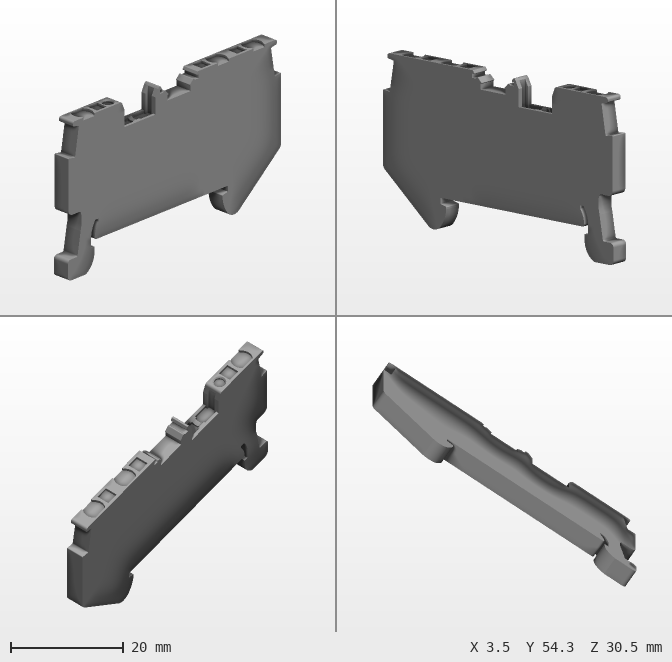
import cadquery as cq
import math

length = 54.3
height = 30.5
thickness = 3.5
half_thickness = thickness / 2

front_end = 0.2
back_end = length
rail_seat_z = 6.05
front_end_bottom_z = 12.6
back_end_bottom_z = 9.55

lip_inset = 1.1
lip_bottom_z = 29.6
undercut_top_inset = 2.6
undercut_top_z = 29.3
undercut_bottom_inset = 1.65
undercut_bottom_z = 23.45
shoulder_z = 23.75
lip_top_radius = 0.5
lip_bottom_radius = 0.25
shoulder_radius = 0.15

groove_center = 28.35
groove_half_width = 2.95
groove_floor_z = 27.25
hook_tip_half_width = 2.65
hook_tip_z = 28.45
hook_root_z = 28.3
hook_peak_half_width = 3.7
hook_peak_z = 29.5
ledge_start_half_width = 4.0
ledge_end_half_width = 4.95
ledge_z = 29.1
catch_half_width = 4.35
catch_z = 29.85
catch_top_half_width = 4.7
hook_tip_radius = 0.1
hook_peak_radius = 0.2
catch_radius = 0.1

well_front = 14.45
well_back = 22.3
well_floor_z = 25.45
well_slope_z = 28.8
well_front_top = 13.75
well_front_radius = 0.55
tower_bend_y = 23.0
tower_bend_z = 30.2
tower_top_y = 23.3
tower_top_radius = 0.1

hook_foot_mouth_y = 40.7
hook_foot_mouth_z = 4.9
hook_foot_lip = (39.35, 4.55)
hook_foot_nose = (39.35, 4.1)
hook_foot_nose_middle = (39.75, 2.4)
hook_foot_toe = (40.6, 0.85)
hook_foot_bottom = (42.3, 0.0)
hook_foot_heel = (43.45, 0.3)
back_slope_radius = 1.65
hook_foot_lip_radius = 0.15

slit_mouth = (6.85, rail_seat_z)
slit_inner_middle = (7.1, 7.8)
slit_inner_top = (7.8, 9.25)
slit_top_z = 9.85
slit_outer_top_y = 7.0
slit_outer_middle = (6.3, 8.45)
slit_outer_bottom_z = 7.1
spring_inner_y = 6.0
spring_foot_top_z = 4.7
spring_foot_inner_y = 6.8
spring_foot_side_z = 3.9
spring_foot_sole_middle = (6.1, 1.35)
spring_foot_sole_y = 4.55
spring_toe_top_z = 4.05
spring_root_y = 2.45
spring_bend = (3.25, 8.8)
spring_bend_middle = (2.9, 6.5)
spring_neck_middle = (3.55, 11.0)
spring_neck_top_y = 3.3
front_end_radius = 1.0
spring_neck_radius = 0.55
spring_root_radius = 0.3
spring_toe_top_radius = 0.75
spring_toe_bottom_radius = 0.9
slit_mouth_radius = 0.5
slit_top_radius = 0.25

recess_depth = 0.55
entry_diameter = 4.0
entry_flat_x = 1.4
square_side = 2.45
square_offset = 3.8
back_entry_y = 48.65
entry_pitch = 9.05
front_entry_y = 5.45
test_hole_y = 11.95
test_hole_diameter = 2.0
test_hole_mouth_diameter = 2.45
test_hole_chamfer = (test_hole_mouth_diameter - test_hole_diameter) / 2

pocket_width = 2.35
pocket_depth = 0.65
saddle_depth = 0.3
end_groove_width = 1.6
end_groove_front = 14.0
end_groove_back = 22.95
channel_width = 1.7
bar_center_y = 18.4
bar_width = 1.0
ear_length = 2.05
ear_radius = 0.5


def end_points(end_y, inward):
    """Undercut corners of one plate end, from the shoulder up to the top of the lip."""
    return [
        (end_y, shoulder_z),
        (end_y + inward * undercut_bottom_inset, undercut_bottom_z),
        (end_y + inward * undercut_top_inset, undercut_top_z),
        (end_y + inward * lip_inset, lip_bottom_z),
        (end_y + inward * lip_inset, height),
    ]


def groove_points(side):
    """Snap hook corners of one groove side, from the top edge down to the groove floor."""
    steps = [
        (catch_top_half_width, height),
        (catch_half_width, catch_z),
        (ledge_end_half_width, catch_z),
        (ledge_end_half_width, ledge_z),
        (ledge_start_half_width, ledge_z),
        (hook_peak_half_width, hook_peak_z),
        (hook_tip_half_width, hook_tip_z),
        (groove_half_width, hook_root_z),
        (groove_half_width, groove_floor_z),
    ]
    return [(groove_center + side * half_width, z) for half_width, z in steps]


def make_plate():
    """Extrude the side outline across the full thickness."""
    well = [
        (tower_top_y, height),
        (tower_bend_y, tower_bend_z),
        (well_back, well_slope_z),
        (well_back, well_floor_z),
        (well_front, well_floor_z),
        (well_front, well_slope_z),
        (well_front_top, height),
    ]
    top_edge = (
        end_points(back_end, -1)
        + groove_points(1)
        + groove_points(-1)[::-1]
        + well
        + end_points(front_end, 1)[::-1]
    )
    outline = (
        cq.Workplane("YZ", origin=(-half_thickness, 0, 0))
        .moveTo(back_end, back_end_bottom_z)
        .polyline(top_edge, includeCurrent=True)
        .lineTo(front_end, front_end_bottom_z)
        .lineTo(spring_neck_top_y, front_end_bottom_z)
        .threePointArc(spring_neck_middle, spring_bend)
        .threePointArc(spring_bend_middle, (spring_root_y, spring_toe_top_z))
        .lineTo(0, spring_toe_top_z)
        .lineTo(0, 0)
        .lineTo(spring_foot_sole_y, 0)
        .threePointArc(spring_foot_sole_middle, (spring_foot_inner_y, spring_foot_side_z))
        .lineTo(spring_foot_inner_y, spring_foot_top_z)
        .lineTo(spring_inner_y, spring_foot_top_z)
        .lineTo(spring_inner_y, slit_outer_bottom_z)
        .threePointArc(slit_outer_middle, (slit_outer_top_y, slit_top_z))
        .lineTo(slit_inner_top[0], slit_top_z)
        .lineTo(*slit_inner_top)
        .threePointArc(slit_inner_middle, slit_mouth)
        .lineTo(hook_foot_mouth_y, rail_seat_z)
        .lineTo(hook_foot_mouth_y, hook_foot_mouth_z)
        .lineTo(*hook_foot_lip)
        .lineTo(*hook_foot_nose)
        .threePointArc(hook_foot_nose_middle, hook_foot_toe)
        .threePointArc(hook_foot_bottom, hook_foot_heel)
        .close()
    )
    return outline.extrude(thickness)


def round_corner(plate, y, z, radius):
    """Round the plate edge that crosses the thickness at (y, z)."""
    return plate.edges(cq.NearestToPointSelector((0, y, z))).fillet(radius)


def round_plate(plate):
    """Round the outline corners of the plate."""
    corners = [
        (well_front_top, height, well_front_radius),
        (tower_top_y, height, tower_top_radius),
        (back_end, back_end_bottom_z, back_slope_radius),
        (front_end, front_end_bottom_z, front_end_radius),
        (spring_neck_top_y, front_end_bottom_z, spring_neck_radius),
        (spring_root_y, spring_toe_top_z, spring_root_radius),
        (0, spring_toe_top_z, spring_toe_top_radius),
        (0, 0, spring_toe_bottom_radius),
        (*slit_mouth, slit_mouth_radius),
        (slit_outer_top_y, slit_top_z, slit_top_radius),
        (*hook_foot_lip, hook_foot_lip_radius),
    ]
    for end_y, inward in ((front_end, 1), (back_end, -1)):
        lip_y = end_y + inward * lip_inset
        corners += [
            (end_y, shoulder_z, shoulder_radius),
            (end_y + inward * undercut_bottom_inset, undercut_bottom_z, shoulder_radius),
            (end_y + inward * undercut_top_inset, undercut_top_z, shoulder_radius),
            (lip_y, lip_bottom_z, lip_bottom_radius),
            (lip_y, height, lip_top_radius),
        ]
    for side in (1, -1):
        corners += [
            (groove_center + side * catch_top_half_width, height, catch_radius),
            (groove_center + side * catch_half_width, catch_z, catch_radius),
            (groove_center + side * hook_peak_half_width, hook_peak_z, hook_peak_radius),
            (groove_center + side * hook_tip_half_width, hook_tip_z, hook_tip_radius),
        ]
    for y, z, radius in corners:
        plate = round_corner(plate, y, z, radius)
    return plate


def block(x_min, x_max, y_min, y_max, z_min, z_max):
    """Box between the given limits."""
    size = (x_max - x_min, y_max - y_min, z_max - z_min)
    return cq.Workplane("XY").box(*size, centered=False).translate((x_min, y_min, z_min))


def wire_entry(y):
    """Round recess, flat on the -X side and open through the +X face."""
    floor_z = height - recess_depth
    half_chord = math.sqrt((entry_diameter / 2) ** 2 - entry_flat_x**2)
    disc = (
        cq.Workplane("XY", origin=(0, y, floor_z))
        .circle(entry_diameter / 2)
        .extrude(recess_depth)
    )
    slab = block(
        -entry_flat_x, entry_flat_x, y - entry_diameter, y + entry_diameter, floor_z, height
    )
    side_opening = block(
        0, half_thickness, y - half_chord, y + half_chord, floor_z, height
    )
    return disc.intersect(slab).union(side_opening)


def release_opening(y):
    """Square recess beside a wire entry."""
    half_side = square_side / 2
    return block(
        -half_side, half_side, y - half_side, y + half_side, height - recess_depth, height
    )


def test_hole():
    """Blind round hole with a chamfered mouth."""
    hole = (
        cq.Workplane("XY", origin=(0, test_hole_y, height - recess_depth))
        .circle(test_hole_diameter / 2)
        .extrude(recess_depth)
    )
    mouth = (
        cq.Workplane("XY", origin=(0, test_hole_y, height))
        .circle(test_hole_mouth_diameter / 2)
        .workplane(offset=-test_hole_chamfer)
        .circle(test_hole_diameter / 2)
        .loft(ruled=True)
    )
    return hole.union(mouth)


def bridge_pocket():
    """Pocket in the well floor, its end grooves, and the notched bar left across it."""
    floor_z = well_floor_z - pocket_depth
    half_pocket = pocket_width / 2
    half_channel = channel_width / 2
    half_groove = end_groove_width / 2
    half_ear = ear_length / 2
    pocket = block(-half_pocket, half_pocket, well_front, well_back, floor_z, well_floor_z)
    ears = block(
        -half_pocket, half_pocket, bar_center_y - half_ear, bar_center_y + half_ear,
        floor_z, well_floor_z,
    ).edges("|X and >Z").fillet(ear_radius)
    channel = block(
        -half_channel, half_channel, bar_center_y - half_ear, bar_center_y + half_ear,
        floor_z, well_floor_z,
    )
    bar = block(
        -half_channel, half_channel, bar_center_y - bar_width / 2, bar_center_y + bar_width / 2,
        floor_z, well_floor_z,
    )
    saddle = (
        cq.Workplane("XZ", origin=(0, bar_center_y + bar_width / 2, 0))
        .moveTo(-half_channel, well_floor_z)
        .threePointArc((0, well_floor_z - saddle_depth), (half_channel, well_floor_z))
        .close()
        .extrude(bar_width)
    )
    end_grooves = block(-half_groove, half_groove, end_groove_front, end_groove_back, floor_z, height)
    end_grooves = end_grooves.cut(
        block(-half_groove, half_groove, well_front, well_back, floor_z, height)
    )
    return pocket.cut(ears).union(channel).cut(bar).union(saddle).union(end_grooves)


result = round_plate(make_plate())
entry_layout = [
    (back_entry_y, -1),
    (back_entry_y - entry_pitch, -1),
    (front_entry_y, 1),
]
for entry_y, toward_middle in entry_layout:
    result = result.cut(wire_entry(entry_y))
    result = result.cut(release_opening(entry_y + toward_middle * square_offset))
result = result.cut(test_hole())
result = result.cut(bridge_pocket())